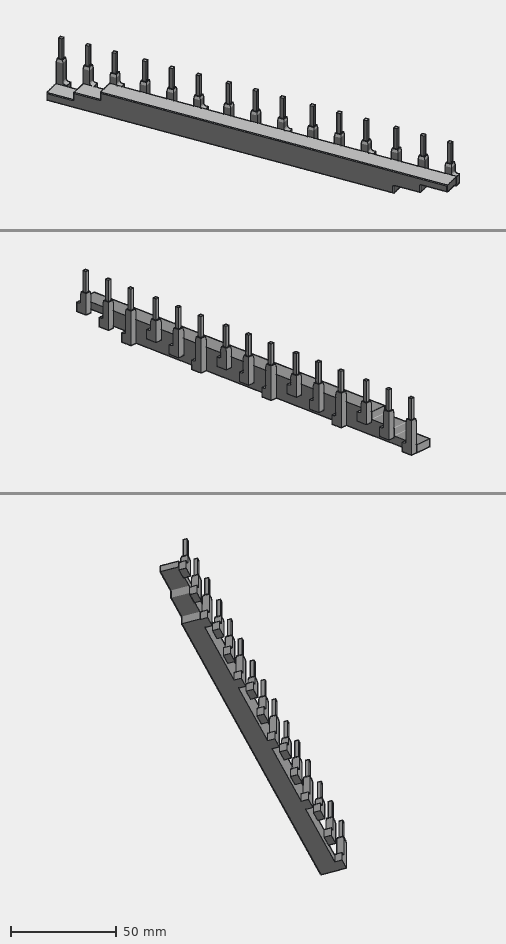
import cadquery as cq

length = 215.2
depth = 13.3
height = 29.3

group_count = 5
level_count = 3
group_pitch = 45.0
pin_pitch = 14.5

bar_depth = 9.7
bar_height = 12.5
top_step = 4.0
bottom_step = 4.3
corner_radius = 0.5
front_chamfer = 0.5

pin_width = 2.0
first_pin_x = 0.1
shank_width = 3.7
shank_depth = depth - bar_depth
shank_top_z = 16.4
shoulder_top_z = 18.0
shoulder_width = 3.0
foot_length = 6.0
foot_height = 5.0
foot_bottom_step = 3.5
foot_fillet = 1.0


def make_bar():
    """Bar with steps rising at the left end and undercut steps at the right end."""
    profile = cq.Workplane("XZ").moveTo(0, 0)
    for level in range(level_count):
        top_z = bar_height - (level_count - 1 - level) * top_step
        profile = profile.lineTo(level * pin_pitch, top_z)
        next_x = length if level == level_count - 1 else (level + 1) * pin_pitch
        profile = profile.lineTo(next_x, top_z)
    for level in reversed(range(level_count)):
        end_x = length - (level_count - 1 - level) * pin_pitch
        profile = profile.lineTo(end_x, level * bottom_step)
        if level > 0:
            profile = profile.lineTo(end_x - pin_pitch, level * bottom_step)
    bar = profile.close().extrude(-bar_depth)

    inner_steps = cq.selectors.BoxSelector(
        (corner_radius, -depth, corner_radius),
        (length - corner_radius, depth, bar_height - corner_radius),
    )
    bar = bar.edges("|Y").edges(inner_steps).fillet(corner_radius)
    return bar.faces("<Y").chamfer(front_chamfer)


def make_pin(x, foot_z):
    """Foot reaching to the right, filleted into an upright shank, tapered shoulder and square pin."""
    foot_top_z = foot_z + foot_height
    shank = (
        cq.Workplane("XZ", origin=(x, depth, 0))
        .moveTo(0, foot_z)
        .lineTo(foot_length, foot_z)
        .lineTo(foot_length, foot_top_z)
        .lineTo(shank_width + foot_fillet, foot_top_z)
        .radiusArc((shank_width, foot_top_z + foot_fillet), foot_fillet)
        .lineTo(shank_width, shank_top_z)
        .lineTo(0, shank_top_z)
        .close()
        .extrude(shank_depth)
    )
    shank_center = (x + shank_width / 2, depth - shank_depth / 2, shank_top_z)
    shoulder = (
        cq.Workplane("XY", origin=shank_center)
        .rect(shank_width, shank_depth)
        .workplane(offset=shoulder_top_z - shank_top_z)
        .rect(shoulder_width, shoulder_width)
        .loft(combine=True)
    )
    pin = (
        cq.Workplane("XY", origin=shank_center)
        .rect(pin_width, pin_width)
        .extrude(height - shank_top_z)
    )
    return shank.union(shoulder).union(pin)


result = make_bar()
for group in range(group_count):
    for level in range(level_count):
        pin_x = first_pin_x + group * group_pitch + level * pin_pitch
        result = result.union(make_pin(pin_x, level * foot_bottom_step))